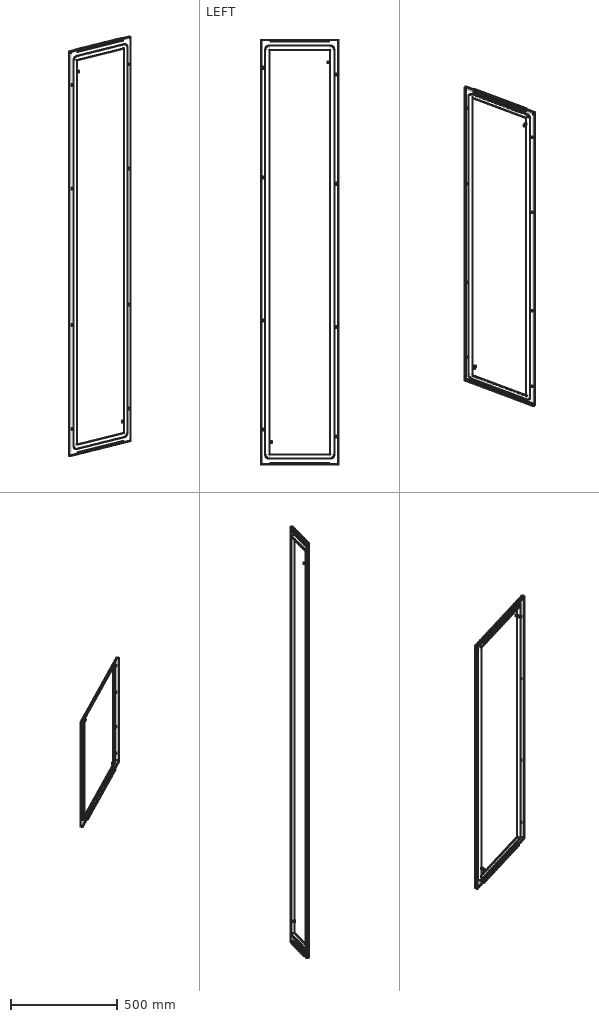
import cadquery as cq

depth = 16.5
width = 365.0
height = 1996.0

sheet = 2.0
wall_depth = 12.5
bend_radius = 2.0
lip_width = 275.0
lip_thickness = 8.0

bead_radius = 10.4
bead_inner_y = 142.0
bead_inner_z = 950.0

stud_radius = 4.0
stud_y = 134.0
stud_z = 892.0

hole_diameter = 8.0
hole_y = 172.0
hole_heights = (866.0, 351.0, -321.0, -835.0)

back_x = depth / 2
front_x = -depth / 2
floor_x = back_x - sheet


def block(x_min, x_max, size_y, size_z, z_center=0.0):
    """Box between two X positions, centred on Y = 0."""
    center = ((x_min + x_max) / 2, 0, z_center)
    return cq.Workplane("XY").box(x_max - x_min, size_y, size_z).translate(center)


def make_tray():
    rim_x = back_x - wall_depth
    outer = block(rim_x, back_x, width, height).edges(">X").fillet(bend_radius + sheet)
    cavity = block(rim_x, floor_x, width - 2 * sheet, height - 2 * sheet)
    cavity = cavity.edges(">X").fillet(bend_radius)
    return outer.cut(cavity)


def make_lip(side):
    """Raised bar along the top (side = 1) or bottom (side = -1) wall."""
    z_center = side * (height - lip_thickness) / 2
    return block(front_x, floor_x - bend_radius, lip_width, lip_thickness, z_center)


def full_bead(plane, length):
    """Round bar of the bead, centred on the origin of its plane."""
    return cq.Workplane(plane).circle(bead_radius).extrude(length / 2, both=True)


def make_bead():
    """Closed half-round frame whose corners turn about its inner corner points."""
    center_y = bead_inner_y + bead_radius
    center_z = bead_inner_z + bead_radius
    upright = full_bead("XY", 2 * bead_inner_z)
    crossbar = full_bead("XZ", 2 * bead_inner_y)
    corner = (
        cq.Workplane("XY")
        .moveTo(0, 0)
        .threePointArc((-bead_radius, bead_radius), (0, 2 * bead_radius))
        .close()
        .revolve(360, (0, 0, 0), (1, 0, 0))
    )
    quadrant = block(-bead_radius, 0, 2 * bead_radius, 2 * bead_radius)
    front_half = block(-bead_radius, 0, width, height)
    bead = cq.Workplane("XY")
    for side in (1, -1):
        bead = bead.add(upright.translate((0, side * center_y, 0)).intersect(front_half))
        bead = bead.add(crossbar.translate((0, 0, side * center_z)).intersect(front_half))
        for end in (1, -1):
            shift = (0, side * bead_radius, end * bead_radius)
            quarter = corner.intersect(quadrant.translate(shift))
            bead = bead.add(quarter.translate((0, side * bead_inner_y, end * bead_inner_z)))
    return bead.combine().translate((floor_x, 0, 0))


def make_studs():
    return (
        cq.Workplane("YZ", origin=(front_x, 0, 0))
        .pushPoints([(-stud_y, stud_z), (stud_y, -stud_z)])
        .circle(stud_radius)
        .extrude(depth)
    )


def make_holes():
    """The -Y row is the +Y row turned half a revolution about X."""
    points = [(side * hole_y, side * z) for side in (1, -1) for z in hole_heights]
    return (
        cq.Workplane("YZ", origin=(front_x, 0, 0))
        .pushPoints(points)
        .circle(hole_diameter / 2)
        .extrude(depth)
    )


result = make_tray().union(make_lip(1)).union(make_lip(-1))
result = result.union(make_bead()).union(make_studs()).cut(make_holes())